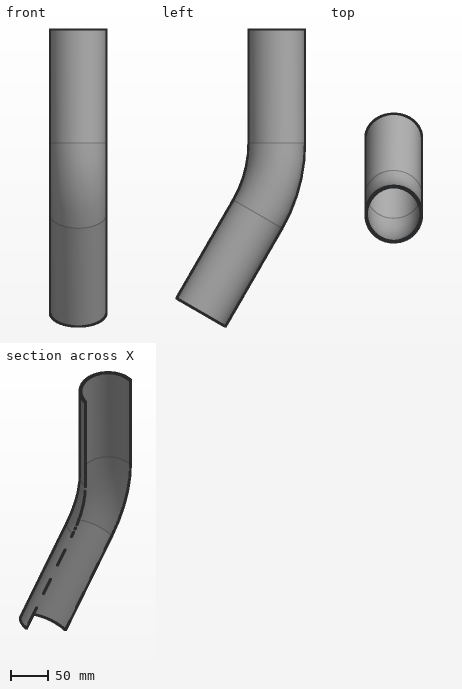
import cadquery as cq
import math

outer_diameter = 76.2
wall_thickness = 2.11
leg_length = 152.4
bend_radius = 2.5 * outer_diameter
bend_angle = 30.0

inner_diameter = outer_diameter - 2 * wall_thickness


def bend_point(angle_degrees):
    """Centreline point (Y, Z) of the bend, which starts at the origin heading down."""
    angle = math.radians(angle_degrees)
    return (bend_radius * (1 - math.cos(angle)), -bend_radius * math.sin(angle))


def make_centreline():
    """Tube centreline in the YZ plane, from the top end to the lower end."""
    bend_end = bend_point(bend_angle)
    tilt = math.radians(bend_angle)
    lower_end = (
        bend_end[0] + leg_length * math.sin(tilt),
        bend_end[1] - leg_length * math.cos(tilt),
    )
    return (
        cq.Workplane("YZ")
        .moveTo(0, leg_length)
        .lineTo(0, 0)
        .threePointArc(bend_point(bend_angle / 2), bend_end)
        .lineTo(*lower_end)
    )


def make_tube():
    """Ring section at the top end swept along the centreline."""
    section = (
        cq.Workplane("XY", origin=(0, 0, leg_length))
        .circle(outer_diameter / 2)
        .circle(inner_diameter / 2)
    )
    return section.sweep(make_centreline())


result = make_tube()